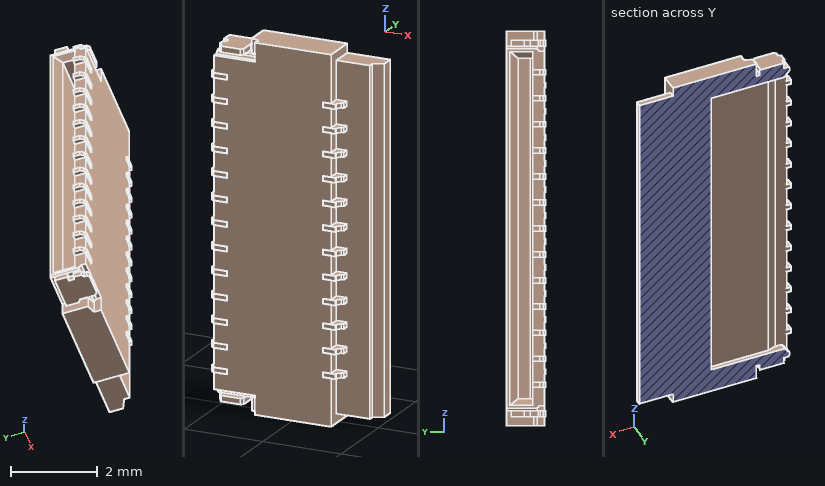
import cadquery as cq


LENGTH_X = 4.2
THICKNESS_Y = 0.9
WIDTH_Z = 9.1

X_MIN = -LENGTH_X / 2
X_MAX = LENGTH_X / 2
Y_BACK = THICKNESS_Y / 2
Y_SOLDER = -THICKNESS_Y / 2
HALF_WIDTH = WIDTH_Z / 2

SOLDER_STANDOFF = 0.022
Y_FRONT = Y_SOLDER + SOLDER_STANDOFF
X_MOUTH = X_MIN + 0.113
X_SHOULDER = X_MIN + 0.96
X_REAR = X_MIN + 3.1
SHOULDER_RELIEF = 0.2
X_RELIEF = X_SHOULDER + SHOULDER_RELIEF
Y_RELIEF_START = Y_BACK - 0.63
Y_LEDGE = Y_BACK - 0.705

MOUTH_HALF = HALF_WIDTH - 0.353
LEDGE_BEVEL = 0.06
LEDGE_HALF = MOUTH_HALF - 0.055
LIP_HALF = LEDGE_HALF - LEDGE_BEVEL
MOUTH_CHAMFER_X = 0.03
MOUTH_CHAMFER_Z = 0.05

FLANGE_HALF = HALF_WIDTH - 0.23
Y_FLANGE_FRONT = Y_BACK - 0.585
Y_FLANGE_LIP = Y_BACK - 0.34
FLANGE_LIP = 0.245
FLANGE_SLOPE = 0.11

SLOT_DEPTH = 2.0
Y_SLOT_OPENING_BACK = Y_BACK - 0.08
Y_SLOT_LIP = Y_BACK - 0.61
SLOT_TAPER = 0.19
SLOT_TAPER_DEPTH = 0.13
SLOT_HALF = HALF_WIDTH - 0.47
SLOT_END_TAPER = 0.16
LIP_RAMP = 0.065
LIP_RAMP_START = 0.3
LIP_RAMP_LENGTH = 0.2

TAB_THICKNESS = 0.148
X_TAB_MIN = X_MOUTH + 0.03
X_TAB_MAX = X_MIN + 0.93
X_TAB_FOOT = X_MIN + 0.86
Y_TAB_BACK = Y_BACK - 0.106
Y_TAB_NOTCH = Y_BACK - 0.41
Y_TAB_FOOT = Y_BACK - 0.73
TAB_NOTCH = 0.115
TAB_NOTCH_HEIGHT = 0.135
TAB_NECK = 0.05
TAB_TOE = 0.05
TAB_EDGE = 0.06

CONTACT_PITCH = 0.6
CONTACT_WIDTH = 0.12
FRONT_CONTACTS = 13
REAR_CONTACTS = FRONT_CONTACTS - 1
CONTACT_EMBED = 0.05
FRONT_CONTACT_PAD = 0.455
Y_FRONT_CONTACT_TOP = Y_BACK - 0.61
FRONT_CONTACT_BEND = 0.13
FRONT_CONTACT_TOE = 0.05
X_REAR_PAD = X_MIN + 2.905
X_REAR_TOE = X_MIN + 3.22
X_REAR_CONTACT_END = X_MIN + 3.36
Y_REAR_CONTACT_STEP = Y_BACK - 0.74
REAR_TOE_HEIGHT = 0.05
REAR_STEP_LENGTH = 0.06


def plate(points, half_width, center_z=0.0):
    """Extrude an XY outline by half_width to both sides of center_z."""
    sketch = cq.Workplane("XY").workplane(offset=center_z).polyline(points).close()
    return sketch.extrude(half_width, both=True)


def housing_block():
    """Full-width block whose mouth-side shoulder is relieved toward the front face."""
    return plate(
        [
            (X_SHOULDER, Y_BACK),
            (X_REAR, Y_BACK),
            (X_REAR, Y_FRONT),
            (X_RELIEF, Y_FRONT),
            (X_RELIEF, Y_LEDGE),
            (X_SHOULDER, Y_RELIEF_START),
        ],
        HALF_WIDTH,
    )


def mouth_section():
    """Mouth body: stepped toward the front lip, with its end corners chamfered."""
    section = [
        (Y_BACK, -MOUTH_HALF),
        (Y_BACK, MOUTH_HALF),
        (Y_LEDGE, MOUTH_HALF),
        (Y_LEDGE, LEDGE_HALF),
        (Y_LEDGE - LEDGE_BEVEL, LIP_HALF),
        (Y_FRONT, LIP_HALF),
        (Y_FRONT, -LIP_HALF),
        (Y_LEDGE - LEDGE_BEVEL, -LIP_HALF),
        (Y_LEDGE, -LEDGE_HALF),
        (Y_LEDGE, -MOUTH_HALF),
    ]
    body = cq.Workplane("YZ", origin=(X_MOUTH, 0, 0)).polyline(section).close()
    body = body.extrude(X_RELIEF - X_MOUTH)

    chamfered_end = MOUTH_HALF - MOUTH_CHAMFER_Z
    plan = [
        (X_MOUTH, -chamfered_end),
        (X_MOUTH + MOUTH_CHAMFER_X, -MOUTH_HALF),
        (X_RELIEF, -MOUTH_HALF),
        (X_RELIEF, MOUTH_HALF),
        (X_MOUTH + MOUTH_CHAMFER_X, MOUTH_HALF),
        (X_MOUTH, chamfered_end),
    ]
    envelope = cq.Workplane("XZ").polyline(plan).close().extrude(THICKNESS_Y, both=True)
    return body.intersect(envelope)


def rear_flange():
    """Thin flange behind the block with an undercut sloping lip."""
    x_step = X_MAX - FLANGE_LIP
    return plate(
        [
            (X_REAR, Y_BACK),
            (X_MAX, Y_BACK),
            (X_MAX, Y_FLANGE_LIP),
            (x_step, Y_FLANGE_LIP - FLANGE_SLOPE),
            (x_step, Y_FLANGE_FRONT),
            (X_REAR, Y_FLANGE_FRONT),
        ],
        FLANGE_HALF,
    )


def cable_slot():
    """Slot with a tapered entry on its back wall and both ends, and a ramp on the lip."""
    x_taper = X_MOUTH + SLOT_TAPER_DEPTH
    x_floor = X_MOUTH + SLOT_DEPTH
    x_ramp = X_MOUTH + LIP_RAMP_START
    y_wall = Y_SLOT_OPENING_BACK - SLOT_TAPER
    profile = plate(
        [
            (X_MOUTH, Y_SLOT_OPENING_BACK),
            (x_taper, y_wall),
            (x_floor, y_wall),
            (x_floor, Y_SLOT_LIP + LIP_RAMP),
            (x_ramp + LIP_RAMP_LENGTH, Y_SLOT_LIP + LIP_RAMP),
            (x_ramp, Y_SLOT_LIP),
            (X_MOUTH, Y_SLOT_LIP),
        ],
        SLOT_HALF,
    )
    inner_half = SLOT_HALF - SLOT_END_TAPER
    plan = [
        (X_MOUTH, -SLOT_HALF),
        (x_taper, -inner_half),
        (x_floor, -inner_half),
        (x_floor, inner_half),
        (x_taper, inner_half),
        (X_MOUTH, SLOT_HALF),
    ]
    envelope = cq.Workplane("XZ").polyline(plan).close().extrude(THICKNESS_Y, both=True)
    return profile.intersect(envelope)


def retention_tab(side):
    """Sheet-metal tab lying on one end (side = +1 or -1) of the mouth section."""
    x_notch = X_TAB_MIN + TAB_NOTCH
    x_neck = X_TAB_MIN + TAB_NECK
    outline = [
        (X_TAB_MIN, Y_TAB_BACK),
        (X_TAB_MAX, Y_TAB_BACK),
        (X_TAB_MAX, Y_TAB_NOTCH),
        (X_TAB_FOOT, Y_TAB_NOTCH - TAB_EDGE),
        (X_TAB_FOOT, Y_SOLDER + TAB_EDGE),
        (X_TAB_FOOT - TAB_EDGE, Y_SOLDER),
        (x_notch + TAB_TOE, Y_SOLDER),
        (x_notch, Y_SOLDER + TAB_TOE),
        (x_notch, Y_TAB_FOOT - TAB_TOE),
        (x_neck, Y_TAB_FOOT),
        (x_neck, Y_TAB_NOTCH - TAB_NOTCH_HEIGHT),
        (x_notch, Y_TAB_NOTCH - TAB_NOTCH_HEIGHT),
        (x_notch, Y_TAB_NOTCH),
        (X_TAB_MIN, Y_TAB_NOTCH),
    ]
    center_z = side * (MOUTH_HALF + TAB_THICKNESS / 2)
    return plate(outline, TAB_THICKNESS / 2, center_z)


def front_contact(center_z):
    """Solder tail below the cable mouth, bent under the housing."""
    y_embed = Y_FRONT + CONTACT_EMBED
    x_embed = X_MOUTH + CONTACT_EMBED
    outline = [
        (X_MIN, Y_FRONT_CONTACT_TOP),
        (x_embed, Y_FRONT_CONTACT_TOP),
        (x_embed, y_embed),
        (X_MIN + FRONT_CONTACT_PAD, y_embed),
        (X_MIN + FRONT_CONTACT_PAD, Y_SOLDER),
        (X_MOUTH, Y_SOLDER),
        (X_MIN + FRONT_CONTACT_TOE, Y_SOLDER + FRONT_CONTACT_TOE),
        (X_MIN, Y_SOLDER + FRONT_CONTACT_BEND),
    ]
    return plate(outline, CONTACT_WIDTH / 2, center_z)


def rear_contact(center_z):
    """Solder tail under the rear flange, stepped and sloping down to its toe."""
    y_embed = Y_FRONT + CONTACT_EMBED
    x_embed = X_REAR - CONTACT_EMBED
    y_toe = Y_SOLDER + REAR_TOE_HEIGHT
    outline = [
        (x_embed, Y_FLANGE_FRONT),
        (X_REAR_CONTACT_END, Y_FLANGE_FRONT),
        (X_REAR_CONTACT_END, Y_REAR_CONTACT_STEP),
        (X_REAR_CONTACT_END - REAR_STEP_LENGTH, Y_REAR_CONTACT_STEP),
        (X_REAR_TOE, y_toe),
        (X_REAR_TOE, Y_SOLDER),
        (X_REAR_PAD, Y_SOLDER),
        (X_REAR_PAD, y_embed),
        (x_embed, y_embed),
    ]
    return plate(outline, CONTACT_WIDTH / 2, center_z)


def row_positions(count):
    """Z positions of a row of contacts centred on the housing."""
    return [(index - (count - 1) / 2) * CONTACT_PITCH for index in range(count)]


result = housing_block().union(mouth_section()).union(rear_flange()).cut(cable_slot())
for end in (1, -1):
    result = result.union(retention_tab(end))
for z in row_positions(FRONT_CONTACTS):
    result = result.union(front_contact(z))
for z in row_positions(REAR_CONTACTS):
    result = result.union(rear_contact(z))